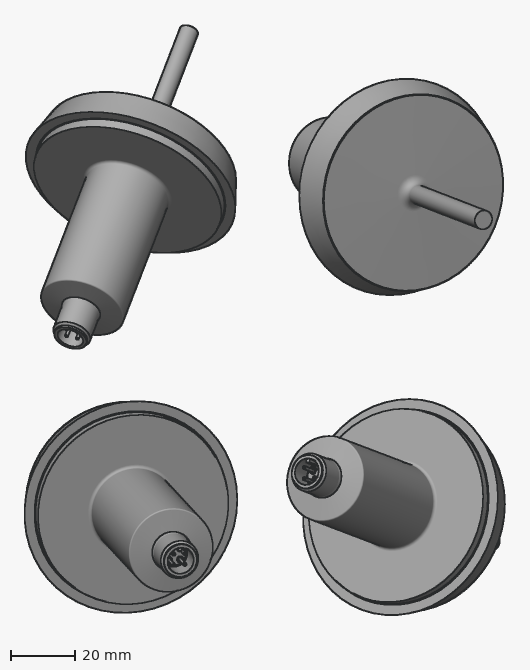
import cadquery as cq
import math


total_length = 124.2
nose_y = -60.0
cable_end_y = nose_y + total_length
shoulder_height = 3.0
seal_rim_y = 13.7
seal_back_y = 14.5
body_end_y = -47.3
nose_length = 0.7

seal_front_dia = 68.2
seal_rear_dia = 62.1
shoulder_dia = 61.0
body_dia = 27.0
connector_dia = 12.0
nose_dia = 10.5
cable_dia = 6.0

seal_rim_chamfer = 0.2
body_root_radius = 1.0
body_edge_radius = 0.5
body_cone_height = 0.9
connector_root_length = 1.1
connector_root_flare = 0.2
cable_root_radius = 2.7
seam_width = 0.4
seam_depth = 0.1

socket_dia = 8.3
socket_depth = 8.1
socket_floor_y = nose_y + socket_depth
key_width = 1.1
key_height = 1.1
pin_count = 4
pin_circle_dia = 5.0
pin_dia = 1.0
pin_tip_dia = 0.2
pin_length = 6.8
cross_width = 3.4
cross_key_arm_width = 1.1
cross_dia = 7.2
pin_clearance_dia = 2.0
cross_height = 0.6


def arc_middle(center_x, center_y, radius, degrees):
    """Point on a profile arc, used as the middle point of a three point arc."""
    angle = math.radians(degrees)
    return center_x + radius * math.cos(angle), center_y + radius * math.sin(angle)


def turned_body():
    """Cable, seal, flange, body and connector as one turned profile (radius, Y)."""
    cable_r = cable_dia / 2
    body_r = body_dia / 2
    connector_r = connector_dia / 2
    nose_r = nose_dia / 2
    cable_root_r = cable_r + cable_root_radius
    cable_root_y = seal_back_y + cable_root_radius
    body_root_r = body_r + body_root_radius
    body_rim_r = body_r - body_edge_radius
    body_rim_y = body_end_y - body_edge_radius
    connector_base_y = body_rim_y - body_cone_height
    nose_chamfer = connector_r - nose_r
    nose_base_y = nose_y + nose_length
    shoulder_r = shoulder_dia / 2
    seal_rear_r = seal_rear_dia / 2

    profile = (
        cq.Workplane("XY")
        .moveTo(0, cable_end_y)
        .lineTo(cable_r, cable_end_y)
        .lineTo(cable_r, cable_root_y)
        .threePointArc(
            arc_middle(cable_root_r, cable_root_y, cable_root_radius, 225),
            (cable_root_r, seal_back_y),
        )
        .lineTo(seal_rear_r - seal_rim_chamfer, seal_rim_y + seal_rim_chamfer)
        .lineTo(seal_rear_r, seal_rim_y)
        .lineTo(seal_front_dia / 2, shoulder_height)
        .lineTo(shoulder_r + seam_width, shoulder_height)
        .lineTo(shoulder_r + seam_width, shoulder_height + seam_depth)
        .lineTo(shoulder_r, shoulder_height + seam_depth)
        .lineTo(shoulder_r, 0)
        .lineTo(body_root_r, 0)
        .threePointArc(
            arc_middle(body_root_r, -body_root_radius, body_root_radius, 135),
            (body_r, -body_root_radius),
        )
        .lineTo(body_r, body_end_y)
        .threePointArc(
            arc_middle(body_rim_r, body_end_y, body_edge_radius, -45),
            (body_rim_r, body_rim_y),
        )
        .lineTo(connector_r + connector_root_flare, connector_base_y)
        .lineTo(connector_r, connector_base_y - connector_root_length)
        .lineTo(connector_r, nose_base_y + nose_chamfer)
        .lineTo(nose_r, nose_base_y)
        .lineTo(nose_r, nose_y)
        .lineTo(0, nose_y)
        .close()
    )
    return profile.revolve(360, (0, 0, 0), (0, 1, 0))


def rod_along_y(diameter, start_y, length):
    """Cylinder on the Y axis running from start_y toward -Y."""
    return cq.Workplane("XZ", origin=(0, start_y, 0)).circle(diameter / 2).extrude(length)


def socket_key():
    """Coding rib on the +Z side of the socket wall."""
    wall_overlap = 0.4
    height = key_height + wall_overlap
    center_z = socket_dia / 2 - key_height + height / 2
    rib_length = socket_depth - nose_length
    return (
        cq.Workplane("XZ", origin=(0, socket_floor_y, 0))
        .center(0, center_z)
        .rect(key_width, height)
        .extrude(rib_length)
    )


def pin_positions():
    """X and Z of every contact pin, spaced evenly on the pin circle."""
    radius = pin_circle_dia / 2
    angles = [math.radians(45 + index * 360 / pin_count) for index in range(pin_count)]
    return [(radius * math.cos(angle), radius * math.sin(angle)) for angle in angles]


def floor_cross():
    """Raised cross on the socket floor, relieved around the pins, with a narrow arm below the key."""
    floor = cq.Workplane("XZ", origin=(0, socket_floor_y, 0))
    arm_length = cross_dia / 2
    cross = floor.rect(cross_dia, cross_width).extrude(cross_height)
    for direction, width in ((-1, cross_width), (1, cross_key_arm_width)):
        arm = floor.center(0, direction * arm_length / 2).rect(width, arm_length).extrude(cross_height)
        cross = cross.union(arm)
    cross = cross.intersect(rod_along_y(cross_dia, socket_floor_y, cross_height))
    for x, z in pin_positions():
        cross = cross.cut(rod_along_y(pin_clearance_dia, socket_floor_y, cross_height).translate((x, 0, z)))
    return cross


def contact_pins():
    """Contact pins with conical tips."""
    tip_length = (pin_dia - pin_tip_dia) / 2
    pin = rod_along_y(pin_dia, socket_floor_y, pin_length).faces("<Y").chamfer(tip_length)
    pins = cq.Workplane("XZ")
    for x, z in pin_positions():
        pins = pins.add(pin.translate((x, 0, z)))
    return pins.combine()


result = turned_body()
result = result.cut(rod_along_y(socket_dia, socket_floor_y, socket_depth))
result = result.union(socket_key()).union(floor_cross()).union(contact_pins())